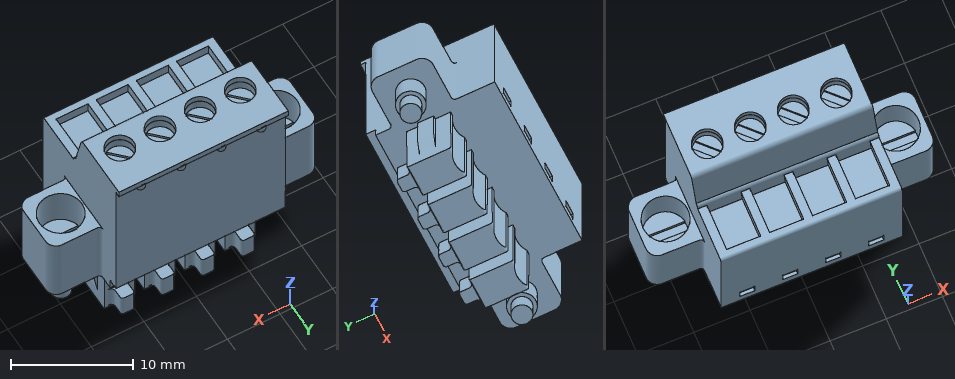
import cadquery as cq
import math


POLE_COUNT = 4
POLE_PITCH = 3.82
POLE_XS = [(i - (POLE_COUNT - 1) / 2) * POLE_PITCH for i in range(POLE_COUNT)]

TOTAL_LENGTH = 25.45
BODY_LENGTH = 16.1
TOTAL_DEPTH = 12.3
FRONT_Y = -6.6
LIP_Y = FRONT_Y + TOTAL_DEPTH
BACK_Y = 5.22
TOP_Z = 15.15
LIP_HEIGHT = 0.64
SHELF_Z = 11.02
SLOPE_ANGLE = 15.0
SLOPE_FOOT = (-1.3, 11.47)
BEAD_FRONT_Y = -1.63
BEAD_RADIUS = 0.45
TOP_EDGE_RADIUS = 0.5
FRONT_EDGE_RADIUS = 0.33
BACK_NOTCH_DEPTH = 0.92
BACK_NOTCH_HEIGHT = 1.0

NUB_RADIUS = 0.43
NUB_BALL_Z = 14.0

SCREW_Y = 1.9
SCREW_BORE_DIAMETER = 2.6
SCREW_BORE_DEPTH = 0.64
SCREW_SEAT_DIAMETER = 2.57
SCREW_SEAT_DEPTH = 1.5
SCREW_SLOT_WIDTH = 0.7
SCREW_SLOT_DEPTH = 0.25
SCREW_SLOT_ANGLE = -45.0

POCKET_WIDTH = 3.03
POCKET_FRONT_Y = -5.8
POCKET_DEPTH = 1.0

WINDOW_WIDTH = 1.32
WINDOW_BOTTOM_Z = 0.95
WINDOW_HEIGHT = 1.0
WINDOW_DEPTH = 0.3

FLANGE_HEIGHT = 6.85
FLANGE_WIDTH = 5.55
FLANGE_CORNER_RADIUS = 1.02
FLANGE_ROOT_RADIUS = 0.33
FLANGE_SCREW_X = 10.23
FLANGE_BORE_DIAMETER = 4.0
FLANGE_BORE_DEPTH = 4.58
HEAD_DIAMETER = 3.9
HEAD_HEIGHT = 1.02
HEAD_SLOT_WIDTH = 0.81
HEAD_SLOT_DEPTH = 0.38
SHANK_DIAMETER = 2.52
SHANK_LENGTH = 2.32
TIP_DIAMETER = 1.8
TIP_END_Z = -3.9

PRONG_TOP_WIDTH = 2.95
PRONG_BOTTOM_WIDTH = 2.87
PRONG_FRONT_Y = -2.14
PRONG_BACK_Y = 1.88
PRONG_LENGTH = 6.65
PRONG_EDGE_RADIUS = 0.2
GROOVE_RADIUS = 1.98
GROOVE_WIDTH = 2.25

TAB_WIDTH = 1.27
TAB_BACK_Y = 3.25
TAB_TOP_Z = -4.07
TAB_BOTTOM_Z = -6.28
TAB_CORNER_RADIUS = 0.25
TAB_ROOT_RADIUS = 0.4

WEDGE_WIDTH = 1.48
WEDGE_OUTER_X = 7.5
WEDGE_TAPER_Z = -3.33
WEDGE_END_Z = -5.22


def box(x_range, y_range, z_range):
    """Box between the given limits on each axis."""
    (x0, x1), (y0, y1), (z0, z1) = x_range, y_range, z_range
    return cq.Workplane("XY").box(x1 - x0, y1 - y0, z1 - z0, centered=False).translate((x0, y0, z0))


def centred(width, centre=0.0):
    """Limits of a span of the given width about a centre."""
    return (centre - width / 2, centre + width / 2)


def cylinder(x, y, bottom, top, diameter):
    return cq.Workplane("XY", origin=(x, y, bottom)).circle(diameter / 2).extrude(top - bottom)


def make_body():
    """Stepped side profile swept along the row of poles."""
    slope_run = (TOP_Z - SLOPE_FOOT[1]) * math.tan(math.radians(SLOPE_ANGLE))
    slope_top_y = SLOPE_FOOT[0] + slope_run
    lip_bottom_z = TOP_Z - LIP_HEIGHT
    notch_y = BACK_Y - BACK_NOTCH_DEPTH
    body = (
        cq.Workplane("YZ")
        .moveTo(FRONT_Y, 0)
        .lineTo(FRONT_Y, SHELF_Z)
        .lineTo(BEAD_FRONT_Y, SHELF_Z)
        .radiusArc(SLOPE_FOOT, BEAD_RADIUS)
        .lineTo(slope_top_y, TOP_Z)
        .lineTo(LIP_Y, TOP_Z)
        .lineTo(LIP_Y, lip_bottom_z)
        .lineTo(BACK_Y, lip_bottom_z)
        .lineTo(BACK_Y, BACK_NOTCH_HEIGHT)
        .lineTo(notch_y, BACK_NOTCH_HEIGHT)
        .lineTo(notch_y, 0)
        .close()
        .extrude(BODY_LENGTH / 2, both=True)
    )
    top_edge = cq.selectors.NearestToPointSelector((0, slope_top_y, TOP_Z))
    front_edge = cq.selectors.NearestToPointSelector((0, FRONT_Y, SHELF_Z))
    return body.edges(top_edge).fillet(TOP_EDGE_RADIUS).edges(front_edge).fillet(FRONT_EDGE_RADIUS)


def make_latch_nub(x):
    """Round-ended upright nub, half sunk in the back wall below the lip."""
    stem = cylinder(x, BACK_Y, NUB_BALL_Z, TOP_Z - LIP_HEIGHT, 2 * NUB_RADIUS)
    ball = cq.Workplane("XY", origin=(x, BACK_Y, NUB_BALL_Z)).sphere(NUB_RADIUS)
    return stem.union(ball)


def make_clamp_screw_bore(x):
    """Stepped bore ending on a screw head with a diagonal slot."""
    seat_z = TOP_Z - SCREW_SEAT_DEPTH
    bore = cylinder(x, SCREW_Y, TOP_Z - SCREW_BORE_DEPTH, TOP_Z, SCREW_BORE_DIAMETER)
    seat = cylinder(x, SCREW_Y, seat_z, TOP_Z, SCREW_SEAT_DIAMETER)
    slot = (
        cq.Workplane("XY", origin=(x, SCREW_Y, seat_z))
        .transformed(rotate=(0, 0, SCREW_SLOT_ANGLE))
        .rect(2 * SCREW_SEAT_DIAMETER, SCREW_SLOT_WIDTH)
        .extrude(-SCREW_SLOT_DEPTH)
        .intersect(cylinder(x, SCREW_Y, seat_z - SCREW_SLOT_DEPTH, seat_z, SCREW_SEAT_DIAMETER))
    )
    return bore.union(seat).union(slot)


def make_wire_pocket(x):
    """Shelf pocket whose back wall leans like the slope above it."""
    floor_z = SHELF_Z - POCKET_DEPTH
    floor_back_y = BEAD_FRONT_Y - POCKET_DEPTH * math.tan(math.radians(SLOPE_ANGLE))
    return (
        cq.Workplane("YZ", origin=(x, 0, 0))
        .moveTo(POCKET_FRONT_Y, SHELF_Z)
        .lineTo(BEAD_FRONT_Y, SHELF_Z)
        .lineTo(floor_back_y, floor_z)
        .lineTo(POCKET_FRONT_Y, floor_z)
        .close()
        .extrude(POCKET_WIDTH / 2, both=True)
    )


def make_test_window(x):
    return box(
        centred(WINDOW_WIDTH, x),
        (FRONT_Y, FRONT_Y + WINDOW_DEPTH),
        (WINDOW_BOTTOM_Z, WINDOW_BOTTOM_Z + WINDOW_HEIGHT),
    )


def make_flange_bar():
    """One bar through the housing that forms both flanges."""
    bar = box(centred(TOTAL_LENGTH), centred(FLANGE_WIDTH), (0, FLANGE_HEIGHT))
    return bar.edges("|Z").fillet(FLANGE_CORNER_RADIUS)


def make_root_fillet(x_side, y_side):
    """Concave fillet between a flange face and the end of the housing."""
    root_x = x_side * BODY_LENGTH / 2
    root_y = y_side * FLANGE_WIDTH / 2
    reach_x = root_x + x_side * FLANGE_ROOT_RADIUS
    reach_y = root_y + y_side * FLANGE_ROOT_RADIUS
    corner = (
        cq.Workplane("XY")
        .moveTo(root_x, root_y)
        .lineTo(reach_x, root_y)
        .lineTo(reach_x, reach_y)
        .lineTo(root_x, reach_y)
        .close()
        .extrude(FLANGE_HEIGHT)
    )
    return corner.cut(cylinder(reach_x, reach_y, 0, FLANGE_HEIGHT, 2 * FLANGE_ROOT_RADIUS))


def make_flange_bore(x):
    return cylinder(x, 0, FLANGE_HEIGHT - FLANGE_BORE_DEPTH, FLANGE_HEIGHT, FLANGE_BORE_DIAMETER)


def make_flange_screw(x):
    """Slotted head on the bore floor, with the stepped shank below the flange."""
    floor_z = FLANGE_HEIGHT - FLANGE_BORE_DEPTH
    head_top_z = floor_z + HEAD_HEIGHT
    head = cylinder(x, 0, floor_z, head_top_z, HEAD_DIAMETER)
    slot = box(
        centred(HEAD_DIAMETER, x),
        centred(HEAD_SLOT_WIDTH),
        (head_top_z - HEAD_SLOT_DEPTH, head_top_z),
    )
    shank = cylinder(x, 0, -SHANK_LENGTH, floor_z, SHANK_DIAMETER)
    tip = cylinder(x, 0, TIP_END_Z, -SHANK_LENGTH, TIP_DIAMETER)
    return head.cut(slot).union(shank).union(tip)


def make_guide_tab(x):
    """Tab on the back of a prong, with rounded corners and a flared root."""
    half = TAB_WIDTH / 2
    root_half = half + TAB_ROOT_RADIUS
    flare_y = PRONG_BACK_Y + TAB_ROOT_RADIUS
    corner_y = TAB_BACK_Y - TAB_CORNER_RADIUS
    flat_half = half - TAB_CORNER_RADIUS
    return (
        cq.Workplane("XY", origin=(x, 0, TAB_BOTTOM_Z))
        .moveTo(-root_half, PRONG_BACK_Y)
        .radiusArc((-half, flare_y), -TAB_ROOT_RADIUS)
        .lineTo(-half, corner_y)
        .radiusArc((-flat_half, TAB_BACK_Y), TAB_CORNER_RADIUS)
        .lineTo(flat_half, TAB_BACK_Y)
        .radiusArc((half, corner_y), TAB_CORNER_RADIUS)
        .lineTo(half, flare_y)
        .radiusArc((root_half, PRONG_BACK_Y), -TAB_ROOT_RADIUS)
        .close()
        .extrude(TAB_TOP_Z - TAB_BOTTOM_Z)
    )


def make_prong(x):
    """Slightly tapered prong with a hollow front and a guide tab behind."""
    prong = (
        cq.Workplane("XZ", origin=(x, PRONG_BACK_Y, 0))
        .moveTo(-PRONG_TOP_WIDTH / 2, 0)
        .lineTo(PRONG_TOP_WIDTH / 2, 0)
        .lineTo(PRONG_BOTTOM_WIDTH / 2, -PRONG_LENGTH)
        .lineTo(-PRONG_BOTTOM_WIDTH / 2, -PRONG_LENGTH)
        .close()
        .extrude(PRONG_BACK_Y - PRONG_FRONT_Y)
        .faces("<Z")
        .edges("|X")
        .fillet(PRONG_EDGE_RADIUS)
    )
    groove_offset = math.sqrt(GROOVE_RADIUS**2 - (GROOVE_WIDTH / 2) ** 2)
    groove = cylinder(x, PRONG_FRONT_Y - groove_offset, -PRONG_LENGTH, 0, 2 * GROOVE_RADIUS)
    return prong.cut(groove).union(make_guide_tab(x))


def make_wedge(side):
    """Wedge on the outer side of an end prong, tapering out towards its foot."""
    inner_x = side * POLE_XS[-1]
    foot_x = inner_x + side * PRONG_BOTTOM_WIDTH / 2
    outer_x = side * WEDGE_OUTER_X
    return (
        cq.Workplane("XZ")
        .moveTo(inner_x, 0)
        .lineTo(outer_x, 0)
        .lineTo(outer_x, WEDGE_TAPER_Z)
        .lineTo(foot_x, WEDGE_END_Z)
        .lineTo(inner_x, WEDGE_END_Z)
        .close()
        .extrude(WEDGE_WIDTH / 2, both=True)
    )


result = make_body().union(make_flange_bar())

for pole_x in POLE_XS:
    result = result.union(make_latch_nub(pole_x)).union(make_prong(pole_x))
    result = result.cut(make_clamp_screw_bore(pole_x))
    result = result.cut(make_wire_pocket(pole_x))
    result = result.cut(make_test_window(pole_x))

for end in (-1, 1):
    screw_x = end * FLANGE_SCREW_X
    result = result.union(make_root_fillet(end, -1)).union(make_root_fillet(end, 1))
    result = result.union(make_wedge(end))
    result = result.cut(make_flange_bore(screw_x)).union(make_flange_screw(screw_x))